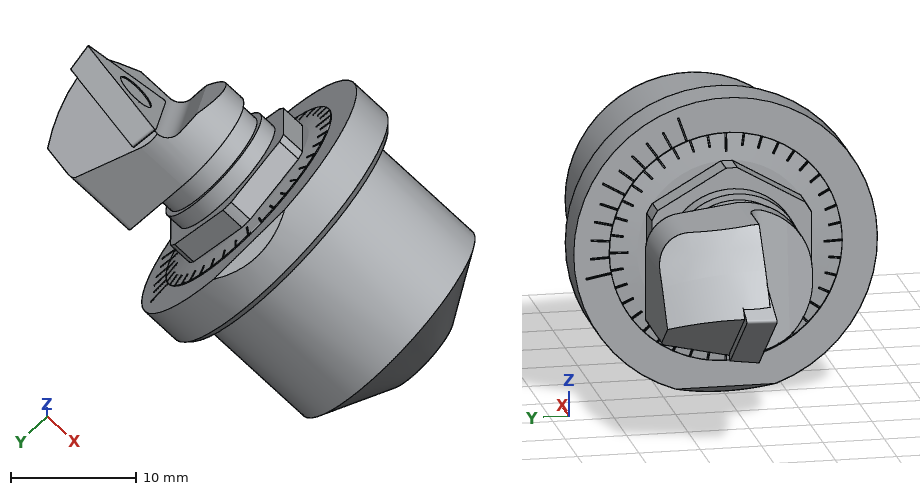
import cadquery as cq
import math


CUT_MARGIN = 1.0

FLANGE_DIA = 24.75
FLANGE_LENGTH = 4.0
FLANGE_CHAMFER = 0.5
FLAT_LENGTH = 1.0
FLAT_ANGLE = 35.0
BARREL_DIA = 19.99
BARREL_END = 15.45
CONE_END_DIA = 7.5
CONE_ANGLE = 60.0
CONE_LENGTH = (BARREL_DIA - CONE_END_DIA) / 2 / math.tan(math.radians(CONE_ANGLE))

DIAL_DIA = 18.97
DIAL_SEAT_DEPTH = 1.0
DIAL_RIM_X = -0.1
DIAL_FACE_X = -0.34
HEX_ACROSS_FLATS = 13.0
HEX_CORNER_DIA = 14.5
HEX_X = -2.45
COLLAR_DIA = 11.0
COLLAR_X = -3.94
NECK_DIA = 10.0
HEAD_X = -5.9

TICK_WIDTH = 0.12
TICK_DEPTH = 0.1
DIAL_DIVISIONS = 40
DIAL_STEP = 360 / DIAL_DIVISIONS
DIAL_LONG_EVERY = 10
DIAL_TICK_LENGTH = 1.0
DIAL_LONG_TICK_LENGTH = 1.5
VERNIER_DIVISIONS = 10
VERNIER_STEP = 0.9 * DIAL_STEP
VERNIER_MIDDLE_ANGLE = 30.0
VERNIER_LONG_EVERY = 5
VERNIER_TICK_LENGTH = 1.5
VERNIER_LONG_TICK_LENGTH = 2.05

HEAD_RADIUS = 5.5
HEAD_UPPER_CENTRE_Z = -0.12
HEAD_LOWER_CENTRE_Z = -0.7
HEAD_SIDE_Y = 7.72
HEAD_TOP_EDGE_Y = 0.25
HEAD_TOP_SLOPE = 7.5
HEAD_BOTTOM_SLOPE = 16.3
HEAD_TOP_FILLET = 3.0
HEAD_BOTTOM_FILLET = 0.5
HEAD_BLANK_LENGTH = 15.0

BORE_ANGLE = math.degrees(math.atan2(4, 3))
NOSE_RADIUS = 14.0
NOSE_TAPER = 4.0
NOSE_EDGE_X = -14.92
NOSE_EDGE_Z = 2.32
NOSE_TOP_REACH = 12.0
NOSE_BOTTOM_REACH = 14.0
UNDERSIDE_DROP = 4.15
UNDERSIDE_CLEARANCE = 4.0

SEAT_Y = -0.27
RAKE_Y = -0.5
TRIANGLE_ANGLE = 60
BACK_TILT = TRIANGLE_ANGLE - BORE_ANGLE
POCKET_WALL_X = -8.47
POCKET_FILLET = 1.25
POCKET_BREAK_Y = -3.42
POCKET_RELIEF_ANGLE = 16.0
POCKET_REACH = 20.0
INSERT_X = -13.04
INSERT_Z = -1.59
INSERT_INSCRIBED_DIA = 5.556
INSERT_THICKNESS = 2.38
INSERT_CORNER_RADIUS = 0.2
INSERT_FLANK_ANGLE = 4.5
INSERT_RECESS_DIA = 3.4
INSERT_RECESS_DEPTH = 0.1


def turned(points):
    """Solid turned about the X axis from (x, radius) points."""
    return cq.Workplane("XY").polyline(points).close().revolve(360, (0, 0, 0), (1, 0, 0))


def tick(start_radius, length, angle, face_x, lean=0.0):
    """Cutter for one radial line; angle 0 points to +Y and +90 to +Z."""
    cutter = cq.Workplane("XY").box(2 * TICK_DEPTH, length, TICK_WIDTH)
    cutter = cutter.rotate((0, 0, 0), (0, 0, 1), lean)
    return cutter.translate((face_x, start_radius + length / 2, 0)).rotate((0, 0, 0), (1, 0, 0), angle)


def vernier_ticks():
    """Lines on the flange face, just outside the dial."""
    cutters = []
    first_angle = VERNIER_MIDDLE_ANGLE - VERNIER_DIVISIONS / 2 * VERNIER_STEP
    for i in range(VERNIER_DIVISIONS + 1):
        length = VERNIER_TICK_LENGTH if i % VERNIER_LONG_EVERY else VERNIER_LONG_TICK_LENGTH
        cutters.append(tick(DIAL_DIA / 2, length, first_angle + i * VERNIER_STEP, 0))
    return cq.Compound.makeCompound([cutter.val() for cutter in cutters])


def dial_ticks():
    """Lines on the conical dial face, running in from its rim."""
    dial_rise = DIAL_RIM_X - DIAL_FACE_X
    slope = dial_rise / ((DIAL_DIA - HEX_CORNER_DIA) / 2)
    lean = -math.degrees(math.atan(slope))
    cutters = []
    for i in range(DIAL_DIVISIONS):
        length = DIAL_TICK_LENGTH if i % DIAL_LONG_EVERY else DIAL_LONG_TICK_LENGTH
        middle_x = DIAL_RIM_X - slope * length / 2
        cutters.append(tick(DIAL_DIA / 2 - length, length, i * DIAL_STEP, middle_x, lean))
    return cq.Compound.makeCompound([cutter.val() for cutter in cutters])


def make_housing():
    flange_radius = FLANGE_DIA / 2
    barrel_radius = BARREL_DIA / 2
    body = turned([
        (0, 0),
        (0, flange_radius),
        (FLANGE_LENGTH - FLANGE_CHAMFER, flange_radius),
        (FLANGE_LENGTH, flange_radius - FLANGE_CHAMFER),
        (FLANGE_LENGTH, barrel_radius),
        (BARREL_END, barrel_radius),
        (BARREL_END + CONE_LENGTH, CONE_END_DIA / 2),
        (BARREL_END + CONE_LENGTH, 0),
    ])
    dial_seat = cq.Workplane("YZ").circle(DIAL_DIA / 2).extrude(DIAL_SEAT_DEPTH)
    flat_height = FLAT_LENGTH * math.tan(math.radians(FLAT_ANGLE))
    flat = (
        cq.Workplane("XZ")
        .polyline([(0, flat_height - flange_radius), (0, -flange_radius), (FLAT_LENGTH, -flange_radius)])
        .close()
        .extrude(flange_radius, both=True)
    )
    return body.cut(dial_seat).cut(flat).cut(cq.Workplane(vernier_ticks()))


def make_dial_and_neck():
    """Dial, hexagon with turned corners, collar and neck."""
    dial_radius = DIAL_DIA / 2
    dial = turned([
        (DIAL_SEAT_DEPTH, 0),
        (DIAL_SEAT_DEPTH, dial_radius),
        (DIAL_RIM_X, dial_radius),
        (DIAL_FACE_X, HEX_CORNER_DIA / 2),
        (DIAL_FACE_X, 0),
    ]).cut(cq.Workplane(dial_ticks()))
    hex_plane = cq.Workplane("YZ", origin=(HEX_X, 0, 0))
    hexagon = hex_plane.polygon(6, HEX_ACROSS_FLATS, circumscribed=True).extrude(DIAL_FACE_X - HEX_X)
    hexagon = hexagon.intersect(hex_plane.circle(HEX_CORNER_DIA / 2).extrude(DIAL_FACE_X - HEX_X))
    collar = cq.Workplane("YZ", origin=(COLLAR_X, 0, 0)).circle(COLLAR_DIA / 2).extrude(HEX_X - COLLAR_X)
    neck = cq.Workplane("YZ", origin=(HEAD_X, 0, 0)).circle(NECK_DIA / 2).extrude(COLLAR_X - HEAD_X)
    return dial.union(hexagon).union(collar).union(neck)


def head_blank():
    """Bar with a round -Y side, a sloping top and bottom, and a flat +Y side."""
    top = math.radians(HEAD_TOP_SLOPE)
    bottom = math.radians(HEAD_BOTTOM_SLOPE)
    arc_y = -HEAD_RADIUS * math.sqrt(0.5)
    arc_z = HEAD_RADIUS * math.sqrt(0.5)
    top_z = HEAD_UPPER_CENTRE_Z + math.sqrt(HEAD_RADIUS**2 - HEAD_TOP_EDGE_Y**2)
    bottom_y = HEAD_RADIUS * math.sin(bottom)
    bottom_z = HEAD_LOWER_CENTRE_Z - HEAD_RADIUS * math.cos(bottom)
    top_corner = (HEAD_SIDE_Y, top_z - (HEAD_SIDE_Y - HEAD_TOP_EDGE_Y) * math.tan(top))
    bottom_corner = (HEAD_SIDE_Y, bottom_z + (HEAD_SIDE_Y - bottom_y) * math.tan(bottom))
    bar = (
        cq.Workplane("YZ", origin=(HEAD_X, 0, 0))
        .moveTo(HEAD_TOP_EDGE_Y, top_z)
        .threePointArc((arc_y, HEAD_UPPER_CENTRE_Z + arc_z), (-HEAD_RADIUS, HEAD_UPPER_CENTRE_Z))
        .lineTo(-HEAD_RADIUS, HEAD_LOWER_CENTRE_Z)
        .threePointArc((arc_y, HEAD_LOWER_CENTRE_Z - arc_z), (bottom_y, bottom_z))
        .lineTo(*bottom_corner)
        .lineTo(*top_corner)
        .close()
        .extrude(-HEAD_BLANK_LENGTH)
    )
    for corner, radius in [(top_corner, HEAD_TOP_FILLET), (bottom_corner, HEAD_BOTTOM_FILLET)]:
        bar = bar.edges("|X").edges(cq.NearestToPointSelector((HEAD_X, *corner))).fillet(radius)
    return bar


def nose_envelope():
    """Cylinder with a tapered upper part about the bore axis, with a slanted underside."""
    bore = math.radians(BORE_ANGLE)
    outward = cq.Vector(-math.sin(bore), 0, math.cos(bore))
    centre = cq.Vector(NOSE_EDGE_X, RAKE_Y, NOSE_EDGE_Z) - outward * NOSE_RADIUS
    plane = cq.Plane(origin=centre, xDir=outward, normal=(0, 1, 0))
    back_y = RAKE_Y - HEAD_RADIUS - CUT_MARGIN
    front_y = HEAD_SIDE_Y + CUT_MARGIN
    clearance = math.tan(math.radians(UNDERSIDE_CLEARANCE))
    top_radius = NOSE_RADIUS - NOSE_TOP_REACH * math.tan(math.radians(NOSE_TAPER))
    envelope = (
        cq.Workplane(plane)
        .polyline([
            (0, -NOSE_BOTTOM_REACH),
            (NOSE_RADIUS, -NOSE_BOTTOM_REACH),
            (NOSE_RADIUS, 0),
            (top_radius, NOSE_TOP_REACH),
            (0, NOSE_TOP_REACH),
        ])
        .close()
        .revolve(360, (0, 0, 0), (0, 1, 0))
    )
    side = cq.Plane(origin=centre, xDir=(0, 1, 0), normal=-outward)
    below = (
        cq.Workplane(side)
        .polyline([
            (back_y, -NOSE_BOTTOM_REACH - CUT_MARGIN),
            (front_y, -NOSE_BOTTOM_REACH - CUT_MARGIN),
            (front_y, clearance * front_y - UNDERSIDE_DROP),
            (back_y, clearance * back_y - UNDERSIDE_DROP),
        ])
        .close()
        .extrude(2 * NOSE_RADIUS, both=True)
    )
    return envelope.cut(below)


def chip_pocket():
    """Cutter that bares the insert seat, with a filleted back wall parallel to the insert's rear edge."""
    end_y = -HEAD_RADIUS - CUT_MARGIN
    relief_run = (POCKET_BREAK_Y - end_y) * math.tan(math.radians(POCKET_RELIEF_ANGLE))
    fillet_middle = POCKET_FILLET * math.sqrt(0.5)
    cutter = (
        cq.Workplane("XY")
        .moveTo(-POCKET_REACH, SEAT_Y)
        .lineTo(-POCKET_FILLET, SEAT_Y)
        .threePointArc(
            (fillet_middle - POCKET_FILLET, SEAT_Y - POCKET_FILLET + fillet_middle),
            (0, SEAT_Y - POCKET_FILLET),
        )
        .lineTo(0, POCKET_BREAK_Y)
        .lineTo(relief_run, end_y)
        .lineTo(-POCKET_REACH, end_y)
        .close()
        .extrude(POCKET_REACH, both=True)
    )
    return cutter.rotate((0, 0, 0), (0, 1, 0), BACK_TILT).translate((POCKET_WALL_X, 0, 0))


def insert_blank():
    """Triangular plate with rounded corners, narrowing from the rake face to its seat."""
    narrowing = 2 * INSERT_THICKNESS * math.tan(math.radians(INSERT_FLANK_ANGLE))
    faces = []
    for inscribed_dia, y in [
        (INSERT_INSCRIBED_DIA, RAKE_Y),
        (INSERT_INSCRIBED_DIA - narrowing, RAKE_Y + INSERT_THICKNESS),
    ]:
        corner_distance = inscribed_dia - 2 * INSERT_CORNER_RADIUS
        outline = (
            cq.Workplane("XZ", origin=(INSERT_X, y, INSERT_Z))
            .transformed(rotate=(0, 0, 180 - BACK_TILT))
            .polygon(3, 2 * corner_distance)
            .offset2D(INSERT_CORNER_RADIUS)
        )
        faces.append(outline.val())
    return cq.Workplane(cq.Solid.makeLoft(faces, True))


def make_insert():
    recess = (
        cq.Workplane("XZ", origin=(INSERT_X, RAKE_Y, INSERT_Z))
        .circle(INSERT_RECESS_DIA / 2)
        .extrude(-INSERT_RECESS_DEPTH)
    )
    return insert_blank().cut(recess)


def make_holder():
    head = head_blank().intersect(nose_envelope()).cut(chip_pocket())
    return make_dial_and_neck().union(head).cut(insert_blank())


housing = make_housing()
holder = make_holder()
insert = make_insert()

result = cq.Compound.makeCompound([body.solids().val() for body in (housing, holder, insert)])